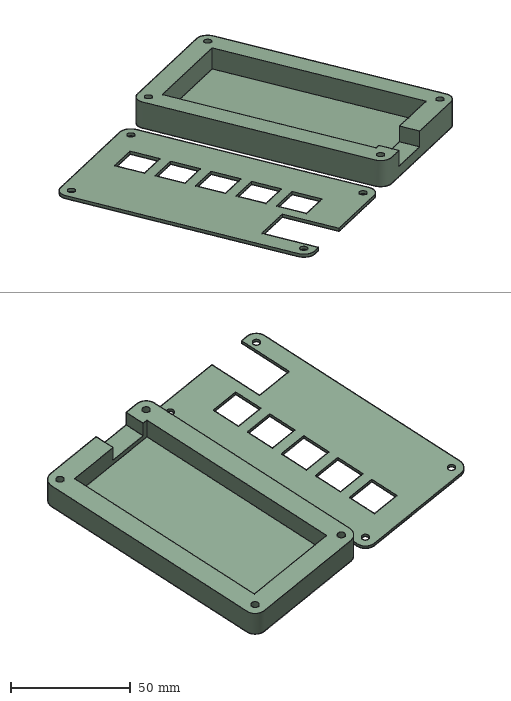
import cadquery as cq

LENGTH = 119.34
WIDTH = 64.34
CORNER_RADIUS = 5.17
SCREW_DIAMETER = 3.4
SCREW_INSET = CORNER_RADIUS

CASE_HEIGHT = 12.5
WALL = 9.5
POCKET_LENGTH = LENGTH - 2 * WALL
POCKET_WIDTH = WIDTH - 2 * WALL
POCKET_DEPTH = 10.0
CASE_NOTCH_WIDTH = 18.8
CASE_NOTCH_DEPTH = 7.5
CASE_NOTCH_START = 11.9

PLATE_THICKNESS = 1.5
PLATE_SHIFT_X = -1.0
PLATE_GAP = 3.66
PLATE_BASE_Z = -0.5
PLATE_SLOT_LENGTH = 26.6
PLATE_SLOT_WIDTH = 18.5
PLATE_SLOT_START = 8.7

KEY_COUNT = 5
KEY_SIZE = 14.0
KEY_PITCH = 19.0
FIRST_KEY_X = 18.4
KEY_ROW_Y = 24.9


def rounded_slab(height):
    """Rounded rectangle centred on the origin, drilled at its four corners."""
    slab = cq.Workplane("XY").rect(LENGTH, WIDTH).extrude(height)
    slab = slab.edges("|Z").fillet(CORNER_RADIUS)
    return (
        slab.faces(">Z")
        .workplane()
        .rect(LENGTH - 2 * SCREW_INSET, WIDTH - 2 * SCREW_INSET, forConstruction=True)
        .vertices()
        .hole(SCREW_DIAMETER)
    )


def make_case():
    """Tray with a rectangular pocket and a notch through the +X wall."""
    pocket = (
        cq.Workplane("XY", origin=(0, 0, CASE_HEIGHT - POCKET_DEPTH))
        .rect(POCKET_LENGTH, POCKET_WIDTH)
        .extrude(POCKET_DEPTH)
    )
    notch = cq.Workplane("XY").box(
        LENGTH / 2, CASE_NOTCH_WIDTH, CASE_NOTCH_DEPTH, centered=(False, False, False)
    )
    notch = notch.translate((0, CASE_NOTCH_START - WIDTH / 2, CASE_HEIGHT - CASE_NOTCH_DEPTH))
    return rounded_slab(CASE_HEIGHT).cut(pocket).cut(notch)


def make_plate():
    """Thin cover with a row of key openings and a slot open to the +X side."""
    key_centres = [
        (FIRST_KEY_X - LENGTH / 2 + i * KEY_PITCH, WIDTH / 2 - KEY_ROW_Y)
        for i in range(KEY_COUNT)
    ]
    keys = (
        cq.Workplane("XY")
        .pushPoints(key_centres)
        .rect(KEY_SIZE, KEY_SIZE)
        .extrude(PLATE_THICKNESS)
    )
    slot = cq.Workplane("XY").box(
        PLATE_SLOT_LENGTH, PLATE_SLOT_WIDTH, PLATE_THICKNESS, centered=(False, False, False)
    )
    slot = slot.translate((LENGTH / 2 - PLATE_SLOT_LENGTH, PLATE_SLOT_START - WIDTH / 2, 0))
    return rounded_slab(PLATE_THICKNESS).cut(keys).cut(slot)


case = make_case()
plate = make_plate().translate((PLATE_SHIFT_X, -(WIDTH + PLATE_GAP), PLATE_BASE_Z))

result = cq.Compound.makeCompound([case.val(), plate.val()])